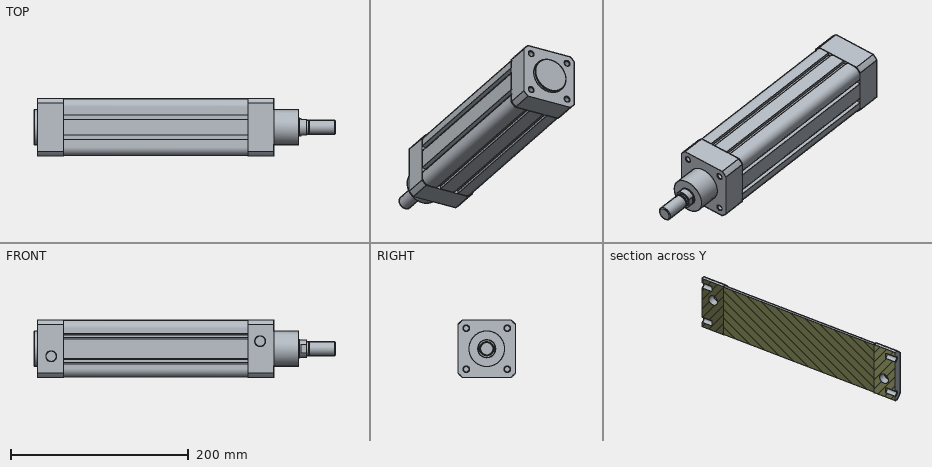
import cadquery as cq


cap_width = 65.0
cap_turned_diameter = 84.8
tube_width = 64.0
tube_corner_radius = 9.0
half_tube = tube_width / 2

total_length = 339
rear_boss_length = 3.7
cap_length = 29.5
tube_length = 207.0
front_boss_length = 27.8
tube_start = rear_boss_length + cap_length
tube_end = tube_start + tube_length
front_face = tube_end + cap_length
boss_end = front_face + front_boss_length

boss_diameter = 40.0
rear_boss_chamfer = 0.7
bolt_offset = 23.0
bolt_diameter = 6.0
bolt_mouth_chamfer = 0.7
bolt_depth = 13.5
port_diameter = 11.5
port_depth = 13.5
port_chamfer = 0.5
port_height = 8.5
port_inset = 15.5
wiper_diameter = 20.5
wiper_length = 1.0

square_slot_offset = 11.2
square_slot_width = 5.0
square_slot_depth = 3.5
flared_slot_offset = 14.0
flared_slot_mouth = 6.0
flared_slot_floor = 3.0
flared_slot_depth = 4.7

rod_diameter = 20.0
stud_diameter = 16.0
shoulder_end = 306.5
relief_start = 308.5
relief_end = 310.0
relief_diameter = 15.0
stud_chamfer = 1.0
flat_start = 300.5
flats_width = 17.5


def square_bar(start, length, width):
    """Sharp-cornered square bar along the X axis."""
    return cq.Workplane("YZ", origin=(start, 0, 0)).rect(width, width).extrude(length)


def round_bar(start, end, diameter):
    """Cylinder along the X axis."""
    return cq.Workplane("YZ", origin=(start, 0, 0)).circle(diameter / 2).extrude(end - start)


def cap_block(start):
    """Square cap block with its four long corners turned round."""
    block = square_bar(start, cap_length, cap_width)
    return block.intersect(round_bar(start, start + cap_length, cap_turned_diameter))


def chamfered_hole(diameter, depth, chamfer):
    """Blind hole cutter along +X, its chamfered mouth centred on the origin."""
    mouth = (
        cq.Workplane("YZ")
        .circle(diameter / 2 + chamfer)
        .workplane(offset=chamfer)
        .circle(diameter / 2)
        .loft()
    )
    return round_bar(0, depth, diameter).union(mouth)


def bolt_holes(outer_face, turn):
    """Four blind corner holes; a turn of 180 degrees about Z makes them run toward -X."""
    hole = chamfered_hole(bolt_diameter, bolt_depth, bolt_mouth_chamfer).rotate((0, 0, 0), (0, 0, 1), turn)
    holes = cq.Workplane("XY")
    for y in (-bolt_offset, bolt_offset):
        for z in (-bolt_offset, bolt_offset):
            holes = holes.add(hole.translate((outer_face, y, z)))
    return holes.combine()


def port(x, z):
    """Blind air port entering the -Y side."""
    hole = chamfered_hole(port_diameter, port_depth, port_chamfer).rotate((0, 0, 0), (0, 0, 1), 90)
    return hole.translate((x, -cap_width / 2, z))


def make_rear_cap():
    """Rear cap with its short centring boss."""
    boss = round_bar(0, rear_boss_length, boss_diameter).faces("<X").chamfer(rear_boss_chamfer)
    cap = cap_block(rear_boss_length).union(boss)
    cap = cap.cut(bolt_holes(rear_boss_length, 0))
    return cap.cut(port(rear_boss_length + port_inset, -port_height))


def make_front_cap():
    """Front cap with its long boss and wiper lip, bored through for the rod."""
    cap = cap_block(tube_end)
    cap = cap.union(round_bar(front_face, boss_end, boss_diameter))
    cap = cap.union(round_bar(boss_end, boss_end + wiper_length, wiper_diameter))
    cap = cap.cut(bolt_holes(front_face, 180))
    cap = cap.cut(port(front_face - port_inset, port_height))
    return cap.cut(round_bar(tube_end, boss_end + wiper_length, rod_diameter))


def square_slot(y):
    """Rectangular slot in the top face."""
    return cq.Workplane("XY").box(
        tube_length, square_slot_width, square_slot_depth, centered=(False, True, False)
    ).translate((tube_start, y, half_tube - square_slot_depth))


def flared_slot(z):
    """Slot in the -Y face, wider at its mouth than at its floor."""
    floor_y = flared_slot_depth - half_tube
    return (
        cq.Workplane("YZ", origin=(tube_start, 0, 0))
        .polyline([
            (-half_tube, z - flared_slot_mouth / 2),
            (-half_tube, z + flared_slot_mouth / 2),
            (floor_y, z + flared_slot_floor / 2),
            (floor_y, z - flared_slot_floor / 2),
        ])
        .close()
        .extrude(tube_length)
    )


def make_tube():
    """Profile tube; each pair of slots repeats on the opposite side."""
    tube = square_bar(tube_start, tube_length, tube_width).edges("|X").fillet(tube_corner_radius)
    for side in (-1, 1):
        for cutter in (square_slot(side * square_slot_offset), flared_slot(side * flared_slot_offset)):
            tube = tube.cut(cutter)
            tube = tube.cut(cutter.rotate((0, 0, 0), (1, 0, 0), 180))
    return tube


def make_rod():
    """Rod with two wrench flats, and a smaller stud with a relief groove."""
    rod = round_bar(tube_end, shoulder_end, rod_diameter)
    flat_length = shoulder_end - flat_start
    across_flats = cq.Workplane("XY").box(
        flat_length, flats_width, rod_diameter, centered=(False, True, True)
    ).translate((flat_start, 0, 0))
    rod = rod.cut(round_bar(flat_start, shoulder_end, rod_diameter).cut(across_flats))
    stud = round_bar(shoulder_end, total_length, stud_diameter).faces(">X").chamfer(stud_chamfer)
    relief = round_bar(relief_start, relief_end, stud_diameter)
    relief = relief.cut(round_bar(relief_start, relief_end, relief_diameter))
    return rod.union(stud.cut(relief))


rear_cap = make_rear_cap()
tube = make_tube()
front_cap = make_front_cap()
rod = make_rod()

result = cq.Compound.makeCompound([rear_cap.val(), tube.val(), front_cap.val(), rod.val()])